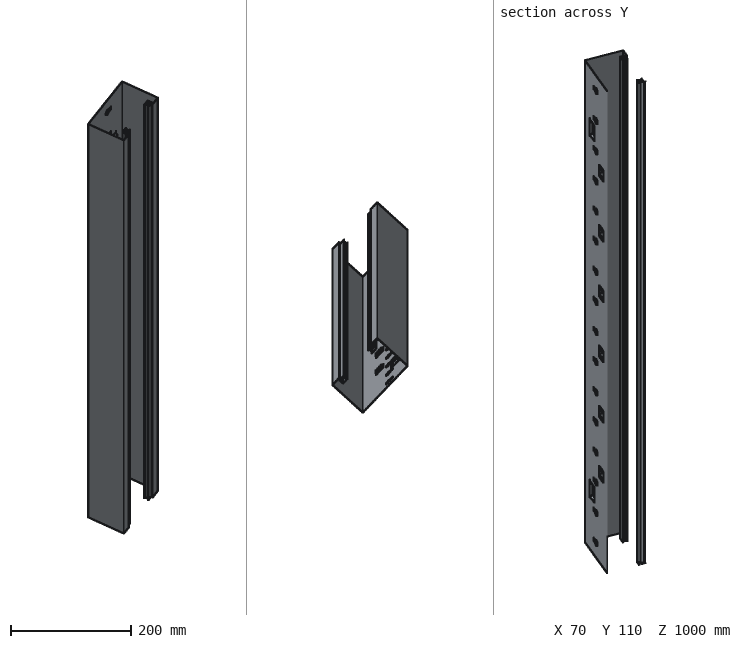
import cadquery as cq

LENGTH = 1000.0
WIDTH = 110.0
DEPTH = 70.0
WALL = 1.0

LIP_END_Y = 38.0
RAIL_TOP_Y = 41.0
RAIL_TIP_Y = 29.0
CROSS_WALL_Y = 31.0
INNER_FLANGE_X = 23.0
MIDDLE_WALL_X = 28.0
OUTER_FLANGE_X = 31.0

SLOT_COUNT = 16
SLOT_PITCH = LENGTH / SLOT_COUNT
HEAD_DIAMETER = 11.0
HEAD_Y = 7.0
NECK_WIDTH = 6.0
NECK_END_Y = 19.0

SMALL_STRAP_COUNT = 6
SMALL_STRAP_PITCH = 2 * SLOT_PITCH
SMALL_WINDOW_OUTER_Y = -4.0
SMALL_WINDOW_INNER_Y = -23.0
SMALL_WINDOW_HEIGHT = 22.0
SMALL_STRAP_DEPTH = 3.0
SMALL_GAP = 2.0
SMALL_NOTCH_RADIUS = 4.0

LARGE_STRAP_Z = 6 * SLOT_PITCH
LARGE_WINDOW_OUTER_Y = 35.0
LARGE_WINDOW_INNER_Y = 14.0
LARGE_WINDOW_HEIGHT = 31.0
LARGE_STRAP_DEPTH = 5.0
LARGE_GAP = 6.0
LARGE_NOTCH_RADIUS = 5.0
RELIEF_HEIGHT = 37.0
RELIEF_WIDTH = 1.0
RELIEF_GAP = 2.0

RAMP_SHARE = 0.5

BACK_X = -DEPTH / 2
FRONT_X = DEPTH / 2
SIDE_Y = WIDTH / 2


def block(x_range, y_range, z_size, z=0.0):
    """Box spanning the given X and Y ranges, centred on height z."""
    x_size = x_range[1] - x_range[0]
    y_size = y_range[1] - y_range[0]
    box = cq.Workplane("XY").box(x_size, y_size, z_size, centered=(False, False, True))
    return box.translate((x_range[0], y_range[0], z))


def rail():
    """Lip turned in from the +Y edge of the mouth, carrying a box-shaped rail with two flanges."""
    outer_x = OUTER_FLANGE_X + WALL
    shape = block((FRONT_X - WALL, FRONT_X), (LIP_END_Y, SIDE_Y), LENGTH)
    shape = shape.union(block((OUTER_FLANGE_X, FRONT_X), (LIP_END_Y, LIP_END_Y + WALL), LENGTH))
    for y in (CROSS_WALL_Y, RAIL_TOP_Y - WALL):
        shape = shape.union(block((INNER_FLANGE_X, outer_x), (y, y + WALL), LENGTH))
    for x in (INNER_FLANGE_X, OUTER_FLANGE_X):
        shape = shape.union(block((x, x + WALL), (RAIL_TIP_Y, RAIL_TOP_Y), LENGTH))
    return shape.union(block((MIDDLE_WALL_X, MIDDLE_WALL_X + WALL), (CROSS_WALL_Y, RAIL_TOP_Y), LENGTH))


def channel():
    """Back and side walls with a rail along each edge of the mouth."""
    body = block((BACK_X, FRONT_X), (-SIDE_Y, SIDE_Y), LENGTH)
    body = body.cut(block((BACK_X + WALL, FRONT_X), (WALL - SIDE_Y, SIDE_Y - WALL), LENGTH))
    edge = rail()
    return body.union(edge).union(edge.mirror("XZ"))


def keyhole(z):
    """Cutter with a round head and a narrower neck running toward +Y."""
    head = cq.Workplane("YZ").center(HEAD_Y, z).circle(HEAD_DIAMETER / 2).extrude(WALL)
    neck = block((0, WALL), (HEAD_Y, NECK_END_Y), NECK_WIDTH, z)
    return head.union(neck).translate((BACK_X, 0, 0))


def strap(y_range, height, depth, z, notch_y, notch_radius):
    """Band pressed inward from the back, ramped at both ends, with a round notch in one edge."""
    half = height / 2
    crest_x = BACK_X + depth
    ramp = RAMP_SHARE * depth
    band = (
        cq.Workplane("XZ")
        .moveTo(BACK_X, half + WALL)
        .lineTo(BACK_X + WALL, half + WALL)
        .lineTo(crest_x, half - ramp)
        .lineTo(crest_x, ramp - half)
        .lineTo(BACK_X + WALL, -half - WALL)
        .lineTo(BACK_X, -half - WALL)
        .lineTo(BACK_X, -half)
        .lineTo(crest_x - WALL, ramp + WALL - half)
        .lineTo(crest_x - WALL, half - ramp - WALL)
        .lineTo(BACK_X, half)
        .close()
        .extrude(y_range[0] - y_range[1])
        .translate((0, y_range[0], 0))
    )
    notch = cq.Workplane("YZ").center(notch_y, 0).circle(notch_radius).extrude(depth)
    return band.cut(notch.translate((BACK_X, 0, 0))).translate((0, 0, z))


def window(y_range, height, z):
    """Cutter for a rectangular opening through the back."""
    return block((BACK_X, BACK_X + WALL), y_range, height, z)


def add_small_strap(body, z):
    """Small strap, notched in its +Y edge."""
    body = body.cut(window((SMALL_WINDOW_INNER_Y, SMALL_WINDOW_OUTER_Y), SMALL_WINDOW_HEIGHT, z))
    band_low = SMALL_WINDOW_INNER_Y + SMALL_GAP
    band_high = SMALL_WINDOW_OUTER_Y - SMALL_GAP
    band = strap(
        (band_low, band_high), SMALL_WINDOW_HEIGHT, SMALL_STRAP_DEPTH, z, band_high, SMALL_NOTCH_RADIUS
    )
    return body.union(band)


def add_large_strap(body, z):
    """Large strap, notched in its -Y edge, with a taller relief slit along the +Y edge of its window."""
    body = body.cut(window((LARGE_WINDOW_INNER_Y, LARGE_WINDOW_OUTER_Y), LARGE_WINDOW_HEIGHT, z))
    relief_range = (LARGE_WINDOW_OUTER_Y - RELIEF_WIDTH, LARGE_WINDOW_OUTER_Y)
    body = body.cut(window(relief_range, RELIEF_HEIGHT, z))
    band_low = LARGE_WINDOW_INNER_Y + LARGE_GAP
    band_high = LARGE_WINDOW_OUTER_Y - RELIEF_GAP
    band = strap(
        (band_low, band_high), LARGE_WINDOW_HEIGHT, LARGE_STRAP_DEPTH, z, band_low, LARGE_NOTCH_RADIUS
    )
    return body.union(band)


result = channel()
for i in range(SLOT_COUNT):
    result = result.cut(keyhole((i - (SLOT_COUNT - 1) / 2) * SLOT_PITCH))
for i in range(SMALL_STRAP_COUNT):
    result = add_small_strap(result, (i - (SMALL_STRAP_COUNT - 1) / 2) * SMALL_STRAP_PITCH)
for side in (-1, 1):
    result = add_large_strap(result, side * LARGE_STRAP_Z)